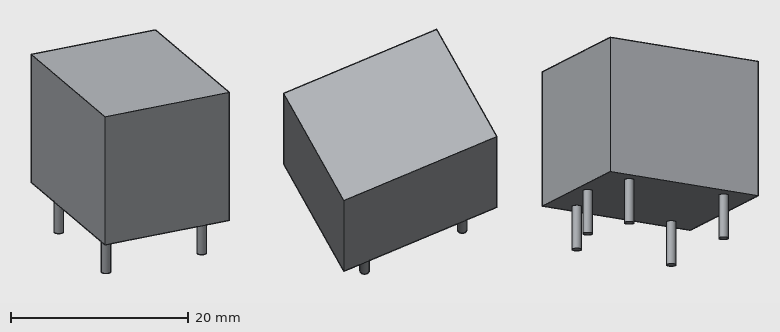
import cadquery as cq

housing_length = 19.2
housing_width = 15.6
total_height = 20.9

pin_diameter = 1.1
pin_length = 5.05
common_pin_x = -8.1
pin_row_x = 6.12
pin_row_y = 6.0

housing_height = total_height - pin_length

pin_centres = [(common_pin_x, 0)]
for side_x in (-1, 1):
    for side_y in (-1, 1):
        pin_centres.append((side_x * pin_row_x, side_y * pin_row_y))


def make_housing():
    """Plain rectangular case resting on the plane Z = 0."""
    return cq.Workplane("XY").box(
        housing_length, housing_width, housing_height, centered=(True, True, False)
    )


def make_pin(x, y):
    """Round pin hanging down from the underside of the housing."""
    return cq.Workplane("XY").center(x, y).circle(pin_diameter / 2).extrude(-pin_length)


housing = make_housing()
pins = [make_pin(x, y) for x, y in pin_centres]

result = cq.Compound.makeCompound([housing.val(), *[pin.val() for pin in pins]])